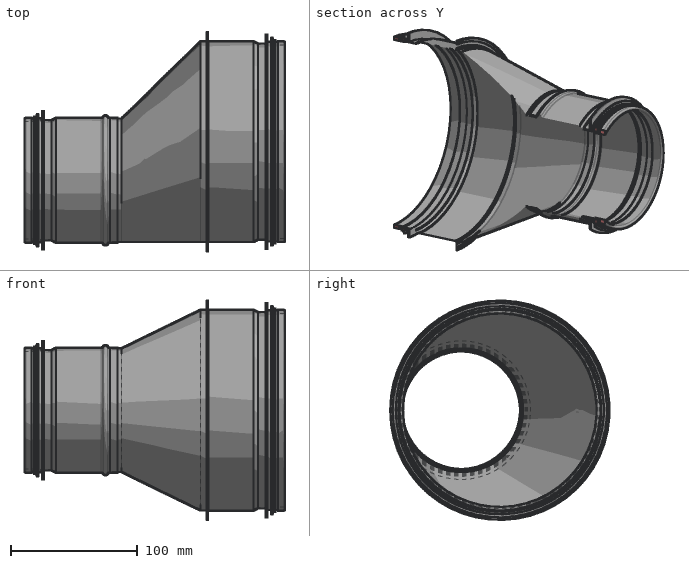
import cadquery as cq

LENGTH = 206.2
SMALL_DIAMETER = 99.0
LARGE_DIAMETER = 159.0

WALL = 0.52
HEM_LENGTH = 5.8
HEM_THICKNESS = 3.0
HEM_LEG_LENGTH = 9.7
GROOVE_DEPTH = 1.75
GROOVE_WALL = 0.72
GROOVE_END = 21.7
RAMP_END = 25.0

BEAD_CENTER_X = 64.1
BEAD_HALF_WIDTH = 3.5
BEAD_HEIGHT = 2.0

SMALL_SPIGOT_END = 73.8
CONE_START = 76.7
CONE_END = 139.2
LARGE_JOINT = 145.5

NECK_RADIUS = SMALL_DIAMETER / 2 - WALL
LARGE_AXIS_Y = 0.0
SMALL_AXIS_Y = LARGE_AXIS_Y - (LARGE_DIAMETER / 2 - NECK_RADIUS)
NECK_START = BEAD_CENTER_X + BEAD_HALF_WIDTH
CONE_WALL = 0.6

FLANGE_DIAMETER = 173.5
FLANGE_START = 144.0
FLANGE_THICKNESS = 1.2
FLANGE_RIM_CHAMFER = 0.5
FLANGE_RECESS_INNER_DIAMETER = 162.0
FLANGE_RECESS_OUTER_DIAMETER = 168.0
FLANGE_RECESS_DEPTH = 0.5

BAND_DEPTH = 0.5
SHOULDER_START = 7.8
SHOULDER_HEIGHT = 0.8
SHORT_LIP_START = 9.3
SHORT_LIP_TIP_WIDTH = 1.0
SMALL_SEAL_SHORT_LIP_DIAMETER = 104.5
SHORT_LIP_HEIGHT = (SMALL_SEAL_SHORT_LIP_DIAMETER - SMALL_DIAMETER) / 2
LONG_LIP_START = 13.8
SMALL_SEAL_LONG_LIP_DIAMETER = 109.5
LONG_LIP_HEIGHT = (SMALL_SEAL_LONG_LIP_DIAMETER - SMALL_DIAMETER) / 2
LIP_WIDTH = 1.9
LIP_ROUND = 0.5
SHORT_LIP_END = SHORT_LIP_START + LIP_WIDTH
SEAL_END = LONG_LIP_START + LIP_WIDTH


def profile_plane(axis_y, end_x=0.0, direction=1):
    """Plane through a spigot axis: local x runs inwards from end_x, local y runs radially."""
    origin = (end_x, axis_y, 0)
    return cq.Workplane(cq.Plane(origin=origin, xDir=(direction, 0, 0), normal=(0, 0, -direction)))


def revolve_about_axis(profile):
    """Close a profile and turn it around its local x axis."""
    return profile.close().revolve(360, (0, 0, 0), (1, 0, 0))


def add_bead(profile, base_radius, crown_radius, root_radius, direction):
    """Add a bead of tangent arcs: a root fillet, a crown and a second root fillet."""
    start_x = BEAD_CENTER_X - direction * BEAD_HALF_WIDTH
    end_x = BEAD_CENTER_X + direction * BEAD_HALF_WIDTH
    crown_share = crown_radius / (crown_radius + root_radius)
    crown_half_width = direction * BEAD_HALF_WIDTH * crown_share
    shoulder = base_radius + BEAD_HEIGHT * (1 - crown_share)
    return (
        profile.lineTo(start_x, base_radius)
        .tangentArcPoint((BEAD_CENTER_X - crown_half_width, shoulder), relative=False)
        .threePointArc(
            (BEAD_CENTER_X, base_radius + BEAD_HEIGHT),
            (BEAD_CENTER_X + crown_half_width, shoulder),
        )
        .tangentArcPoint((end_x, base_radius), relative=False)
    )


def make_spigot(plane, diameter, length, beaded):
    """Thin tube with a rolled free end and a seal groove, optionally with a bead."""
    outer = diameter / 2
    inner = outer - WALL
    groove_outer = outer - GROOVE_DEPTH
    groove_inner = groove_outer - GROOVE_WALL
    hem_inner = outer - HEM_THICKNESS
    hem_round = HEM_THICKNESS / 2
    bead_radius = (BEAD_HALF_WIDTH**2 + BEAD_HEIGHT**2) / (4 * BEAD_HEIGHT)

    profile = (
        plane.moveTo(hem_round, hem_inner)
        .threePointArc((0, outer - hem_round), (hem_round, outer))
        .lineTo(HEM_LENGTH, outer)
        .lineTo(HEM_LENGTH, groove_outer)
        .lineTo(GROOVE_END, groove_outer)
        .lineTo(RAMP_END, outer)
    )
    if beaded:
        profile = add_bead(profile, outer, bead_radius + WALL / 2, bead_radius - WALL / 2, 1)
    profile = profile.lineTo(length, outer).lineTo(length, inner)
    if beaded:
        profile = add_bead(profile, inner, bead_radius - WALL / 2, bead_radius + WALL / 2, -1)
    profile = (
        profile.lineTo(RAMP_END, inner)
        .lineTo(GROOVE_END, groove_inner)
        .lineTo(HEM_LEG_LENGTH, groove_inner)
        .lineTo(HEM_LEG_LENGTH, hem_inner)
    )
    return revolve_about_axis(profile)


def make_seal(plane, diameter):
    """Band seated in the groove against the hem, with two lips.

    The short lip rises from a low shoulder and tapers on its outer side; the long lip is straight.
    """
    outer = diameter / 2
    seat = outer - GROOVE_DEPTH
    band = outer - BAND_DEPTH
    short_lip_tip = outer + SHORT_LIP_HEIGHT
    long_lip_tip = outer + LONG_LIP_HEIGHT
    profile = (
        plane.moveTo(HEM_LENGTH, seat)
        .lineTo(HEM_LENGTH, band)
        .lineTo(SHOULDER_START, band)
        .lineTo(SHOULDER_START, outer + SHOULDER_HEIGHT)
        .lineTo(SHORT_LIP_START, outer + SHOULDER_HEIGHT)
        .lineTo(SHORT_LIP_END - SHORT_LIP_TIP_WIDTH, short_lip_tip)
        .lineTo(SHORT_LIP_END - LIP_ROUND, short_lip_tip)
        .tangentArcPoint((SHORT_LIP_END, short_lip_tip - LIP_ROUND), relative=False)
        .lineTo(SHORT_LIP_END, band)
        .lineTo(LONG_LIP_START, band)
        .lineTo(LONG_LIP_START, long_lip_tip - LIP_ROUND)
        .tangentArcPoint((LONG_LIP_START + LIP_ROUND, long_lip_tip), relative=False)
        .lineTo(SEAL_END - LIP_ROUND, long_lip_tip)
        .tangentArcPoint((SEAL_END, long_lip_tip - LIP_ROUND), relative=False)
        .lineTo(SEAL_END, seat)
    )
    return revolve_about_axis(profile)


def make_cone_solid(neck_radius, collar_radius):
    """Solid neck, oblique cone and collar in one piece."""
    neck = cq.Solid.makeCylinder(
        neck_radius, CONE_START - NECK_START, cq.Vector(NECK_START, SMALL_AXIS_Y, 0), cq.Vector(1, 0, 0)
    )
    collar = cq.Solid.makeCylinder(
        collar_radius, LARGE_JOINT - CONE_END, cq.Vector(CONE_END, LARGE_AXIS_Y, 0), cq.Vector(1, 0, 0)
    )
    small_rim = cq.Wire.makeCircle(neck_radius, cq.Vector(CONE_START, SMALL_AXIS_Y, 0), cq.Vector(1, 0, 0))
    large_rim = cq.Wire.makeCircle(collar_radius, cq.Vector(CONE_END, LARGE_AXIS_Y, 0), cq.Vector(1, 0, 0))
    oblique = cq.Solid.makeLoft([small_rim, large_rim], True)
    return cq.Workplane(oblique).union(cq.Workplane(neck)).union(cq.Workplane(collar))


def make_cone():
    """Hollow eccentric transition between the two spigots."""
    collar_radius = LARGE_DIAMETER / 2
    shell = make_cone_solid(NECK_RADIUS, collar_radius)
    return shell.cut(make_cone_solid(NECK_RADIUS - CONE_WALL, collar_radius - CONE_WALL))


def make_flange():
    """Ring on the cone collar, chamfered and with a shallow recessed band on its cone side."""
    recess_floor = FLANGE_START + FLANGE_RECESS_DEPTH
    back = FLANGE_START + FLANGE_THICKNESS
    profile = (
        profile_plane(LARGE_AXIS_Y)
        .moveTo(FLANGE_START, LARGE_DIAMETER / 2)
        .lineTo(FLANGE_START, FLANGE_RECESS_INNER_DIAMETER / 2)
        .lineTo(recess_floor, FLANGE_RECESS_INNER_DIAMETER / 2)
        .lineTo(recess_floor, FLANGE_RECESS_OUTER_DIAMETER / 2)
        .lineTo(FLANGE_START, FLANGE_RECESS_OUTER_DIAMETER / 2)
        .lineTo(FLANGE_START, FLANGE_DIAMETER / 2 - FLANGE_RIM_CHAMFER)
        .lineTo(FLANGE_START + FLANGE_RIM_CHAMFER, FLANGE_DIAMETER / 2)
        .lineTo(back, FLANGE_DIAMETER / 2)
        .lineTo(back, LARGE_DIAMETER / 2)
    )
    return revolve_about_axis(profile)


small_plane = profile_plane(SMALL_AXIS_Y)
large_plane = profile_plane(LARGE_AXIS_Y, LENGTH, -1)

small_spigot = make_spigot(small_plane, SMALL_DIAMETER, SMALL_SPIGOT_END, beaded=True)
large_spigot = make_spigot(large_plane, LARGE_DIAMETER, LENGTH - LARGE_JOINT, beaded=False)
cone = make_cone()
flange = make_flange()
seals = [
    make_seal(plane, diameter)
    for plane, diameter in ((small_plane, SMALL_DIAMETER), (large_plane, LARGE_DIAMETER))
]

result = cq.Compound.makeCompound(
    [
        small_spigot.val(),
        cone.solids().val(),
        large_spigot.val(),
        flange.val(),
        *[seal.val() for seal in seals],
    ]
)